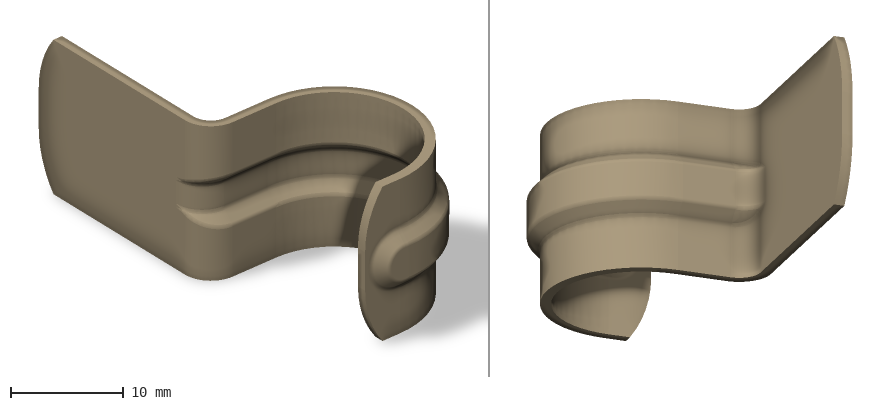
import cadquery as cq
import math

length = 41.2
height = 18.2
width = 16.0

wall = 1.0
bore_radius = width / 2
leg_length = 4.05
bend_outer_radius = 3.0
bend_inner_radius = bend_outer_radius - wall

end_setback = 2.0
end_flat = 4.0

rib_height = 1.2
rib_foot_half = 3.0
rib_crest_half = rib_foot_half - rib_height
rib_drop = 0.4
rib_round = 0.5
flank_angle = 45
flank_shift = wall * math.tan(math.radians(flank_angle / 2))

face_radius = bore_radius + wall
crest_radius = face_radius + rib_height
saddle_x = length - crest_radius
saddle_y = height - crest_radius
upright_x = saddle_x - bore_radius
bend_x = upright_x - bend_outer_radius
bend_y = bend_outer_radius
leg_end_y = saddle_y - leg_length
rib_bend_x = bend_x - rib_height
rib_end_y = saddle_y - rib_drop

diagonal = math.sqrt(0.5)


def make_strip():
    """Bent strip of constant thickness with square ends, centred on Z = 0."""
    return (
        cq.Workplane("XY")
        .moveTo(0, 0)
        .lineTo(bend_x, 0)
        .threePointArc(
            (bend_x + bend_outer_radius * diagonal, bend_y - bend_outer_radius * diagonal),
            (upright_x, bend_y),
        )
        .lineTo(upright_x, saddle_y)
        .threePointArc((saddle_x, saddle_y + bore_radius), (saddle_x + bore_radius, saddle_y))
        .lineTo(saddle_x + bore_radius, leg_end_y)
        .lineTo(saddle_x + face_radius, leg_end_y)
        .lineTo(saddle_x + face_radius, saddle_y)
        .threePointArc((saddle_x, saddle_y + face_radius), (saddle_x - face_radius, saddle_y))
        .lineTo(saddle_x - face_radius, bend_y)
        .threePointArc(
            (bend_x + bend_inner_radius * diagonal, bend_y - bend_inner_radius * diagonal),
            (bend_x, wall),
        )
        .lineTo(0, wall)
        .close()
        .extrude(width / 2, both=True)
    )


def make_rib(inset, crest_half, depth):
    """Tapered bar along the rib path: crest set in from the rib top, reaching depth below it."""
    radius = crest_radius - inset
    right_crest = saddle_x + radius
    left_crest = saddle_x - radius
    foot_half = crest_half + depth

    def section(y, crest_x, foot_x):
        return (
            cq.Workplane("XZ", origin=(0, y, 0))
            .moveTo(crest_x, -crest_half)
            .lineTo(crest_x, crest_half)
            .lineTo(foot_x, foot_half)
            .lineTo(foot_x, -foot_half)
            .close()
        )

    def right_section(y):
        return section(y, right_crest, right_crest - depth)

    def left_section(y):
        return section(y, left_crest, left_crest + depth)

    saddle = right_section(saddle_y).revolve(180, (saddle_x, 0), (saddle_x, 1))
    leg = right_section(saddle_y).extrude(rib_drop)
    upright = left_section(saddle_y).extrude(saddle_y - bend_y)
    bend = left_section(bend_y).revolve(90, (rib_bend_x, 0.4), (rib_bend_x, 0))
    round_end = (
        cq.Workplane("XZ", origin=(0, rib_end_y, 0))
        .moveTo(right_crest, 0)
        .lineTo(right_crest, crest_half)
        .lineTo(right_crest - depth, foot_half)
        .lineTo(right_crest - depth, 0)
        .close()
        .revolve(180, (0, 0), (1, 0))
    )
    return saddle.union(leg).union(upright).union(bend).union(round_end)


def space_above(y):
    """Block holding everything of the part that lies above the given Y."""
    return (
        cq.Workplane("XY")
        .box(length, height, width, centered=(False, False, True))
        .translate((0, y, 0))
    )


def round_rib_edge(body, x, half_width):
    """Round a whole edge line of the rib, found by its stretch along the upright wall."""
    upright_middle = (x, (bend_y + saddle_y) / 2, half_width)
    return body.edges(cq.selectors.NearestToPointSelector(upright_middle)).fillet(rib_round)


def add_rib(strip):
    """Press the hollow rib into the strip, rounding its crest, foot, floor and mouth."""
    foot_x = upright_x - wall
    crest_x = foot_x - rib_height
    floor_x = crest_x + wall
    floor_half = rib_crest_half - flank_shift
    mouth_half = rib_foot_half - flank_shift

    rib = make_rib(0, rib_crest_half, rib_height + wall / 2).intersect(space_above(wall / 2))
    rib = round_rib_edge(rib, crest_x, rib_crest_half)
    body = round_rib_edge(strip.union(rib), foot_x, rib_foot_half)

    recess = make_rib(wall, floor_half, rib_height + wall)
    body = round_rib_edge(body.cut(recess), upright_x, mouth_half)

    coves = recess.cut(round_rib_edge(recess, floor_x, floor_half))
    return body.union(coves.intersect(space_above(0)))


def corner_waste(plane, tip, thickness):
    """Corners to remove at one end of the strip, outside arcs tangent to the flat of its tip."""
    rise = (width - end_flat) / 2
    radius = (rise**2 + end_setback**2) / (2 * end_setback)
    half_angle = math.asin(rise / radius) / 2
    middle_setback = radius * (1 - math.cos(half_angle))
    middle_rise = radius * math.sin(half_angle)
    corner = (
        cq.Workplane(plane)
        .moveTo(tip, end_flat / 2)
        .threePointArc(
            (tip + middle_setback, end_flat / 2 + middle_rise),
            (tip + end_setback, width / 2),
        )
        .lineTo(tip, width / 2)
        .close()
        .extrude(thickness)
    )
    return corner.union(corner.mirror("XY"))


tab_corners = corner_waste("XZ", 0, -wall)
leg_corners = corner_waste("YZ", leg_end_y, wall).translate((saddle_x + bore_radius, 0, 0))

result = add_rib(make_strip()).cut(tab_corners).cut(leg_corners)